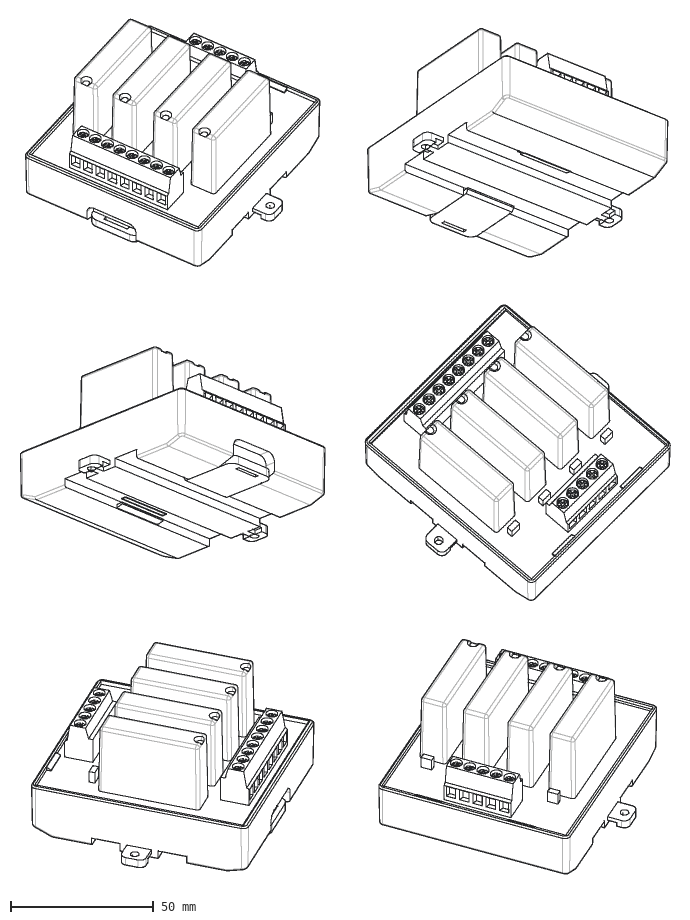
import cadquery as cq
import math

HOUSING_X = 72.7
HOUSING_Y = 80.4
HOUSING_Z = 20.2
HOUSING_DRAFT = 1.0
HOUSING_CORNER = 2.1
RIM_EDGE_CHAMFER = 0.6
BOTTOM_FILLET = 0.9

FRONT_SLOPE_RUN = 7.2
FRONT_SLOPE_RISE = 2.2
BACK_SLOPE_RUN = 7.6
BACK_SLOPE_RISE = 3.3

RIM_SIDE = 1.4
RIM_FRONT = 2.3
RIM_FRONT_CHAMFER = 0.6
TRAY_DEPTH = 1.6
BOARD_THICKNESS = 1.6

CLIP_WIDTH = 10.1
CLIP_REACH = 1.7
CLIP_HEIGHT = 1.2
CLIP_TIP = 0.3
CLIP_X = 17.6

RAIL_Y = -0.2
RAIL_WIDTH = 35.2
RAIL_DEPTH = 3.15
FOOT_WIDTH = 14.15
HOOK_REACH = 2.7
HOOK_TOP = 1.6
HOOK_NOSE = 0.6
HOOK_BOTTOM = 0.3
STOP_RIB_WIDTH = 1.9
STOP_RIB_HEIGHT = 0.3
STOP_RIB_GAP = 2.4

TAB_SPAN = 87.4
TAB_WIDTH = 9.1
TAB_CORNER = 2.3
TAB_HOLE_DIAMETER = 3.0
TAB_HOLE_INSET = 3.15
TAB_PAD_LENGTH = 4.2
TAB_RELIEF_HEIGHT = 1.6
TAB_RIB_WIDTH = 2.6

LATCH_WIDTH = 20.3
LATCH_HEIGHT = 3.15
LATCH_FRONT_Y = -39.1
LATCH_CORNER = 3.2
LATCH_NOSE_REACH = 2.4
LATCH_NOSE_TOP = 2.0
LATCH_NOSE_EDGE = 1.4
LATCH_NOSE_SLANT = 1.0
LATCH_SLOT_LENGTH = 9.6
LATCH_SLOT_WIDTH = 1.4
GRIP_POCKET_BACK_Y = -35.8
GRIP_POCKET_TOP = 9.2
GRIP_POCKET_CORNER = 3.15

RELAY_PITCH = 16.0
RELAY_PAIR_X = (-24.0, 8.9)
RELAY_X = [first_x + offset for first_x in RELAY_PAIR_X for offset in (0, RELAY_PITCH)]
RELAY_Y = -1.2
RELAY_TOP = 44.9
RELAY_WIDTH = 10.1
RELAY_LENGTH = 37.6
RELAY_DRAFT = 0.8
RELAY_FILLET = 1.1
NOTCH_TOP_RADIUS = 2.05
NOTCH_FLOOR_RADIUS = 1.1

LED_COUNT = 4
LED_FIRST_X = -22.8
LED_Y = 21.2
LED_WIDTH = 4.0
LED_LENGTH = 2.1
LED_TOP = 23.0

TERMINAL_PITCH = 5.1
FRONT_TERMINAL_POLES = 8
BACK_TERMINAL_POLES = 5
FRONT_TERMINAL_Y = -30.5
BACK_TERMINAL_Y = 30.75
TERMINAL_TOP = 32.3
TERMINAL_TOP_HALF = 2.9
TERMINAL_INNER_SLOPE = 1.1
TERMINAL_INNER_LEDGE = 1.6
TERMINAL_INNER_Z = 28.1
TERMINAL_OUTER_SLOPE = 1.1
TERMINAL_OUTER_LEDGE = 0.9
TERMINAL_SLOPE_Z = 25.8
TERMINAL_FACE_TOP = 25.0
TERMINAL_BROW_BULGE = 0.1

SCREW_HOLE_DIAMETER = 4.1
SCREW_HEAD_DIAMETER = 3.3
SCREW_HEAD_SINK = 1.05
SCREW_HEAD_HEIGHT = 0.7
SCREW_SLOT_WIDTH = 0.7

WIRE_OPENING_WIDTH = 3.5
WIRE_OPENING_TOP = 24.8
WIRE_OPENING_BOTTOM = 20.45
WIRE_OPENING_TAPER = 0.5
WIRE_OPENING_DROP = 1.4
WIRE_OPENING_DEPTH = 1.75

BOARD_TOP = HOUSING_Z - TRAY_DEPTH
BOARD_BOTTOM = BOARD_TOP - BOARD_THICKNESS
TRAY_FRONT_Y = -HOUSING_Y / 2 + RIM_FRONT
TRAY_BACK_Y = HOUSING_Y / 2 - RIM_SIDE
TRAY_X = HOUSING_X - 2 * RIM_SIDE
RAIL_FRONT_Y = RAIL_Y - RAIL_WIDTH / 2
RAIL_BACK_Y = RAIL_Y + RAIL_WIDTH / 2


def box(x_range, y_range, z_range):
    """Axis-aligned box between pairs of limits."""
    lows, highs = zip(x_range, y_range, z_range)
    size = [high - low for low, high in zip(lows, highs)]
    return cq.Workplane("XY").box(*size, centered=False).translate(lows)


def bar_along_x(outline, length):
    """Prism with a (y, z) outline, centred on x = 0."""
    return cq.Workplane("YZ").polyline(outline).close().extrude(length / 2, both=True)


def drafted_shell():
    """Outer block of the housing, narrowing downwards."""
    return (
        cq.Workplane("XY", origin=(0, 0, HOUSING_Z))
        .sketch()
        .rect(HOUSING_X, HOUSING_Y)
        .vertices()
        .fillet(HOUSING_CORNER)
        .finalize()
        .extrude(-HOUSING_Z, taper=HOUSING_DRAFT)
    )


def cut_end_slopes(shell):
    """Slope the underside up towards the -Y and +Y faces."""
    bottom_half_y = HOUSING_Y / 2 - HOUSING_Z * math.tan(math.radians(HOUSING_DRAFT))
    slopes = ((-1, FRONT_SLOPE_RUN, FRONT_SLOPE_RISE), (1, BACK_SLOPE_RUN, BACK_SLOPE_RISE))
    for side, run, rise in slopes:
        start_y = side * (bottom_half_y - run)
        far_y = side * (bottom_half_y + run)
        wedge = bar_along_x([(start_y, 0), (far_y, 2 * rise), (far_y, 0)], 2 * HOUSING_X)
        shell = shell.cut(wedge)
    return shell


def round_lower_edges(shell):
    """Round the lower outline of the shell, but not the creases between its underside faces."""
    lower = [edge for edge in shell.edges().vals() if edge.BoundingBox().zmax < HOUSING_Z / 2]
    underside = shell.faces("<Z").edges("|X").vals()
    outline = [edge for edge in lower if not any(edge.isSame(crease) for crease in underside)]
    return shell.newObject(outline).fillet(BOTTOM_FILLET)


def housing_block():
    """Shell with finished edges, a rail groove across it and a foot in the middle of the groove."""
    foot_y = (RAIL_Y - FOOT_WIDTH / 2, RAIL_Y + FOOT_WIDTH / 2)
    foot = drafted_shell().intersect(box((-HOUSING_X, HOUSING_X), foot_y, (0, RAIL_DEPTH)))
    block = cut_end_slopes(drafted_shell())
    block = block.faces(">Z").edges().chamfer(RIM_EDGE_CHAMFER)
    block = round_lower_edges(block)
    groove = box((-HOUSING_X, HOUSING_X), (RAIL_FRONT_Y, RAIL_BACK_Y), (0, RAIL_DEPTH))
    return block.cut(groove).union(foot)


def rail_hook():
    """Fixed hook on the +Y wall of the rail groove."""
    tip_y = RAIL_BACK_Y - HOOK_REACH
    return bar_along_x(
        [
            (RAIL_BACK_Y, HOOK_BOTTOM),
            (RAIL_BACK_Y, HOOK_TOP),
            (tip_y, HOOK_TOP),
            (tip_y, HOOK_TOP - HOOK_NOSE),
        ],
        LATCH_WIDTH,
    )


def stop_rib():
    """Low rib on the roof of the rail groove, above the fixed hook."""
    rib_y = RAIL_BACK_Y - STOP_RIB_GAP
    return box(
        (-LATCH_WIDTH / 2, LATCH_WIDTH / 2),
        (rib_y - STOP_RIB_WIDTH, rib_y),
        (RAIL_DEPTH - STOP_RIB_HEIGHT, RAIL_DEPTH),
    )


def mounting_tab():
    """Tab at the +X side with its screw hole, relieved underneath beside the housing."""
    root_x = HOUSING_X / 2 - RIM_SIDE
    end_x = TAB_SPAN / 2
    y_range = (RAIL_Y - TAB_WIDTH / 2, RAIL_Y + TAB_WIDTH / 2)
    tab = box((root_x, end_x), y_range, (0, RAIL_DEPTH)).edges("|Z and >X").fillet(TAB_CORNER)
    relief = box((root_x, end_x - TAB_PAD_LENGTH), y_range, (0, TAB_RELIEF_HEIGHT))
    rib_y = (RAIL_Y - TAB_RIB_WIDTH / 2, RAIL_Y + TAB_RIB_WIDTH / 2)
    relief = relief.cut(box((root_x, end_x), rib_y, (0, TAB_RELIEF_HEIGHT)))
    hole = (
        cq.Workplane("XY")
        .center(end_x - TAB_HOLE_INSET, RAIL_Y)
        .circle(TAB_HOLE_DIAMETER / 2)
        .extrude(RAIL_DEPTH)
    )
    return tab.cut(relief).cut(hole)


def snap_clip():
    """Wedge on the +Y rim that holds the board down, centred on x = 0."""
    tip_y = TRAY_BACK_Y - CLIP_REACH
    return bar_along_x(
        [
            (TRAY_BACK_Y, BOARD_TOP),
            (TRAY_BACK_Y, BOARD_TOP + CLIP_HEIGHT),
            (tip_y, BOARD_TOP + CLIP_TIP),
            (tip_y, BOARD_TOP),
        ],
        CLIP_WIDTH,
    )


def latch_space():
    """Grip pocket in the -Y face and the channel in which the latch lies."""
    half = LATCH_WIDTH / 2
    pocket = box((-half, half), (-HOUSING_Y, GRIP_POCKET_BACK_Y), (0, GRIP_POCKET_TOP))
    pocket = pocket.edges("|Y and >Z").fillet(GRIP_POCKET_CORNER)
    channel = box((-half, half), (GRIP_POCKET_BACK_Y, RAIL_FRONT_Y), (0, LATCH_HEIGHT))
    return pocket.union(channel)


def make_housing():
    """Housing with its board tray, snap clips, latch space, rail hook and two mounting tabs."""
    housing = housing_block()
    housing = housing.cut(
        box((-TRAY_X / 2, TRAY_X / 2), (TRAY_FRONT_Y, TRAY_BACK_Y), (BOARD_BOTTOM, HOUSING_Z))
    )
    rim_chamfer = bar_along_x(
        [
            (TRAY_FRONT_Y - RIM_FRONT_CHAMFER, HOUSING_Z),
            (TRAY_FRONT_Y, HOUSING_Z),
            (TRAY_FRONT_Y, HOUSING_Z - RIM_FRONT_CHAMFER),
        ],
        TRAY_X,
    )
    housing = housing.cut(rim_chamfer).cut(latch_space())
    for clip_x in (-CLIP_X, CLIP_X):
        housing = housing.union(snap_clip().translate((clip_x, 0, 0)))
    housing = housing.union(rail_hook()).union(stop_rib())
    tab = mounting_tab()
    return housing.union(tab).union(tab.mirror("YZ"))


def make_latch():
    """Sliding rail latch with a hooked nose and a screwdriver slot."""
    nose_y = RAIL_FRONT_Y + LATCH_NOSE_REACH
    latch = bar_along_x(
        [
            (LATCH_FRONT_Y, 0),
            (LATCH_FRONT_Y, LATCH_HEIGHT),
            (RAIL_FRONT_Y, LATCH_HEIGHT),
            (RAIL_FRONT_Y, LATCH_NOSE_TOP),
            (nose_y, LATCH_NOSE_TOP),
            (nose_y, LATCH_NOSE_EDGE),
            (nose_y - LATCH_NOSE_SLANT, 0),
        ],
        LATCH_WIDTH,
    )
    latch = latch.edges("|Z and <Y").fillet(LATCH_CORNER)
    slot = box(
        (-LATCH_SLOT_LENGTH / 2, LATCH_SLOT_LENGTH / 2),
        (GRIP_POCKET_BACK_Y - LATCH_SLOT_WIDTH, GRIP_POCKET_BACK_Y),
        (0, LATCH_HEIGHT),
    )
    return latch.cut(slot)


def make_relay():
    """Drafted relay, centred on x = 0, with a tapered U notch at its -Y top edge."""
    height = RELAY_TOP - BOARD_TOP
    relay = (
        cq.Workplane("XY", origin=(0, RELAY_Y, BOARD_TOP))
        .rect(RELAY_WIDTH, RELAY_LENGTH)
        .extrude(height, taper=RELAY_DRAFT)
        .edges("not (>Z or <Z)")
        .fillet(RELAY_FILLET)
        .faces(">Z")
        .edges()
        .fillet(RELAY_FILLET)
    )
    top_length = RELAY_LENGTH - 2 * height * math.tan(math.radians(RELAY_DRAFT))
    notch_y = RELAY_Y - top_length / 2 + RELAY_FILLET
    floor_z = RELAY_TOP - RELAY_FILLET
    cone = cq.Workplane("XY").add(
        cq.Solid.makeCone(
            NOTCH_FLOOR_RADIUS, NOTCH_TOP_RADIUS, RELAY_FILLET, pnt=(0, notch_y, floor_z)
        )
    )
    mouth = (
        cq.Workplane("XZ", origin=(0, notch_y, 0))
        .polyline(
            [
                (-NOTCH_FLOOR_RADIUS, floor_z),
                (NOTCH_FLOOR_RADIUS, floor_z),
                (NOTCH_TOP_RADIUS, RELAY_TOP),
                (-NOTCH_TOP_RADIUS, RELAY_TOP),
            ]
        )
        .close()
        .extrude(RELAY_LENGTH / 2)
    )
    return relay.cut(cone).cut(mouth)


def screw_recess():
    """Cutter for one hole with a cross-slotted screw head at its bottom, axis on x = y = 0."""
    head_z = TERMINAL_TOP - SCREW_HEAD_SINK
    hole_height = SCREW_HEAD_SINK + SCREW_HEAD_HEIGHT
    floor = cq.Workplane("XY", origin=(0, 0, TERMINAL_TOP - hole_height))
    hole = floor.circle(SCREW_HOLE_DIAMETER / 2).extrude(hole_height)
    head = floor.circle(SCREW_HEAD_DIAMETER / 2).extrude(SCREW_HEAD_HEIGHT)
    slot = (
        cq.Workplane("XY", origin=(0, 0, head_z))
        .rect(SCREW_HEAD_DIAMETER, SCREW_SLOT_WIDTH)
        .extrude(-SCREW_HEAD_HEIGHT)
    )
    return hole.cut(head).union(slot).union(slot.rotate((0, 0, 0), (0, 0, 1), 90))


def wire_opening(face_y):
    """Cutter for one funnel-shaped wire opening in a -Y face."""
    back_width = WIRE_OPENING_WIDTH - 2 * WIRE_OPENING_TAPER
    front_height = WIRE_OPENING_TOP - WIRE_OPENING_BOTTOM
    back_height = front_height - WIRE_OPENING_DROP
    return (
        cq.Workplane("XZ", origin=(0, face_y, WIRE_OPENING_BOTTOM))
        .center(0, front_height / 2)
        .rect(WIRE_OPENING_WIDTH, front_height)
        .workplane(offset=-WIRE_OPENING_DEPTH)
        .center(0, (back_height - front_height) / 2)
        .rect(back_width, back_height)
        .loft()
    )


def make_terminal(poles):
    """Terminal strip whose wire openings face -Y and whose screws lie on y = 0."""
    slope_y = -TERMINAL_TOP_HALF - TERMINAL_OUTER_SLOPE
    face_y = slope_y - TERMINAL_OUTER_LEDGE
    inner_y = TERMINAL_TOP_HALF + TERMINAL_INNER_SLOPE
    back_y = inner_y + TERMINAL_INNER_LEDGE
    brow = (
        (face_y + slope_y) / 2 - TERMINAL_BROW_BULGE,
        (TERMINAL_FACE_TOP + TERMINAL_SLOPE_Z) / 2 + TERMINAL_BROW_BULGE,
    )
    strip = (
        cq.Workplane("YZ")
        .moveTo(face_y, BOARD_TOP)
        .lineTo(face_y, TERMINAL_FACE_TOP)
        .threePointArc(brow, (slope_y, TERMINAL_SLOPE_Z))
        .lineTo(-TERMINAL_TOP_HALF, TERMINAL_TOP)
        .lineTo(TERMINAL_TOP_HALF, TERMINAL_TOP)
        .lineTo(inner_y, TERMINAL_INNER_Z)
        .lineTo(back_y, TERMINAL_INNER_Z)
        .lineTo(back_y, BOARD_TOP)
        .close()
        .extrude(poles * TERMINAL_PITCH / 2, both=True)
    )
    for pole in range(poles):
        pole_x = (pole - (poles - 1) / 2) * TERMINAL_PITCH
        strip = strip.cut(screw_recess().translate((pole_x, 0, 0)))
        strip = strip.cut(wire_opening(face_y).translate((pole_x, 0, 0)))
    return strip


def make_board():
    """Board with its relays, indicator lights and two terminal strips."""
    board = box((-TRAY_X / 2, TRAY_X / 2), (TRAY_FRONT_Y, TRAY_BACK_Y), (BOARD_BOTTOM, BOARD_TOP))
    relay = make_relay()
    for relay_x in RELAY_X:
        board = board.union(relay.translate((relay_x, 0, 0)))
    for index in range(LED_COUNT):
        led_x = LED_FIRST_X + index * RELAY_PITCH
        board = board.union(
            box(
                (led_x - LED_WIDTH / 2, led_x + LED_WIDTH / 2),
                (LED_Y - LED_LENGTH / 2, LED_Y + LED_LENGTH / 2),
                (BOARD_TOP, LED_TOP),
            )
        )
    front_strip = make_terminal(FRONT_TERMINAL_POLES).translate((0, FRONT_TERMINAL_Y, 0))
    back_strip = (
        make_terminal(BACK_TERMINAL_POLES)
        .rotate((0, 0, 0), (0, 0, 1), 180)
        .translate((0, BACK_TERMINAL_Y, 0))
    )
    return board.union(front_strip).union(back_strip)


housing = make_housing()
latch = make_latch()
board = make_board()

result = cq.Compound.makeCompound([housing.solids().val(), latch.solids().val(), board.solids().val()])